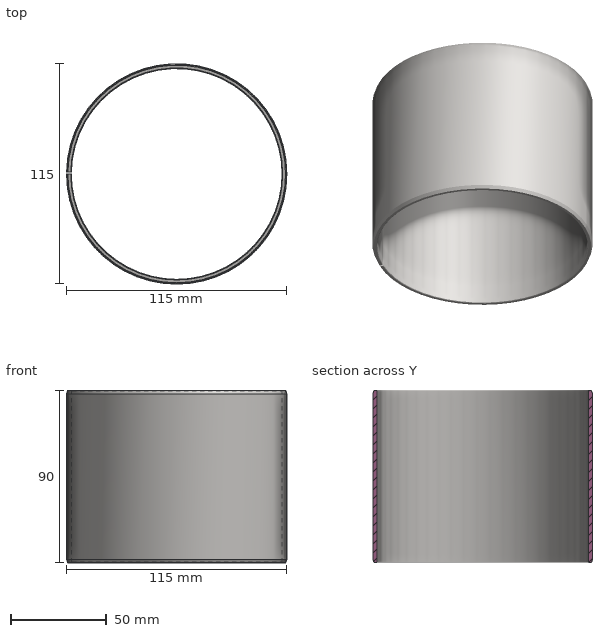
import cadquery as cq

outer_diameter = 115.0
height = 90.0
inner_diameter = 110.0
outer_chamfer_height = 1.8
outer_chamfer_depth = 0.7
inner_chamfer = 0.29
slit_width = 1.0
slit_offset = slit_width / 2

outer_radius = outer_diameter / 2
inner_radius = inner_diameter / 2

section = [
    (inner_radius + inner_chamfer, 0),
    (outer_radius - outer_chamfer_depth, 0),
    (outer_radius, outer_chamfer_height),
    (outer_radius, height - outer_chamfer_height),
    (outer_radius - outer_chamfer_depth, height),
    (inner_radius + inner_chamfer, height),
    (inner_radius, height - inner_chamfer),
    (inner_radius, inner_chamfer),
]
sleeve = cq.Workplane("XZ").polyline(section).close().revolve(360, (0, 0), (0, 1))

slit = (
    cq.Workplane("XY")
    .box(outer_radius, slit_width, height, centered=(False, True, False))
    .translate((-outer_radius - inner_radius / 2, slit_offset, 0))
)

result = sleeve.cut(slit)